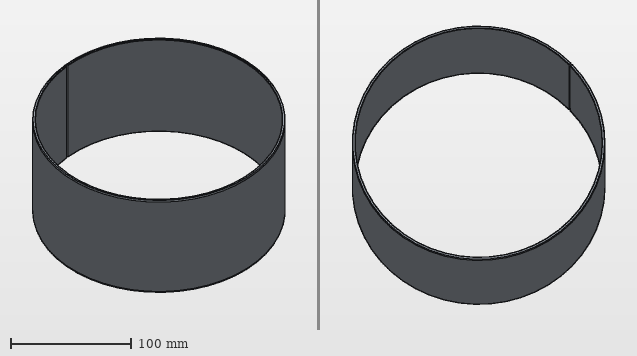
import cadquery as cq

outer_diameter = 210.0
height = 100.0
wall = 2.5
outer_bevel_inset = 0.52
outer_bevel_height = 1.5
inner_bevel = 0.5
gap_angle = 0.9

outer_radius = outer_diameter / 2
inner_radius = outer_radius - wall
rim_outer_radius = outer_radius - outer_bevel_inset
rim_inner_radius = inner_radius + inner_bevel

wall_section = (
    cq.Workplane("XZ")
    .moveTo(-rim_outer_radius, 0)
    .lineTo(-rim_inner_radius, 0)
    .lineTo(-inner_radius, inner_bevel)
    .lineTo(-inner_radius, height - inner_bevel)
    .lineTo(-rim_inner_radius, height)
    .lineTo(-rim_outer_radius, height)
    .lineTo(-outer_radius, height - outer_bevel_height)
    .lineTo(-outer_radius, outer_bevel_height)
    .close()
)

result = wall_section.revolve(360 - gap_angle, (0, 0, 0), (0, 1, 0))